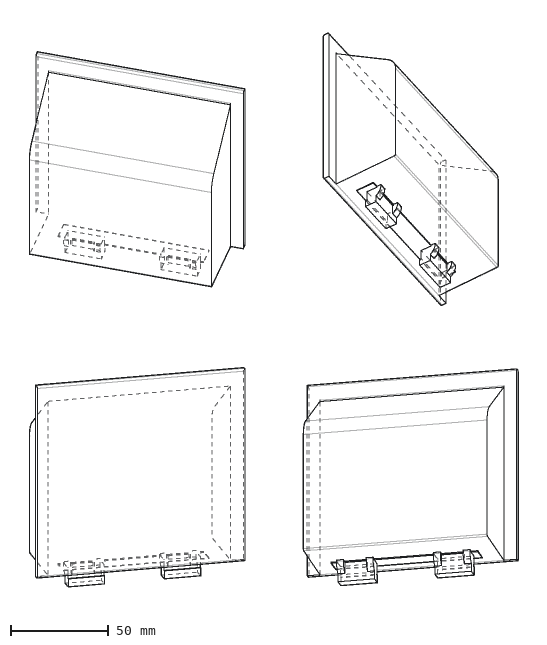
import cadquery as cq
import math

plate_width = 110.0
plate_height = 103.0
plate_thickness = 3.5
plate_edge_radius = 1.1

housing_width = 96.6
overall_depth = 39.6
housing_top_drop = 8.9
lip_height = 0.8
lip_depth = 0.2
roof_angle = 33.8
roof_radius = 10.5
floor_draft = 2.0
floor_edge_radius = 0.9

pad_width = 77.1
pad_back = 9.6
pad_front = 19.8
pad_embed = 2.3

overall_height = 113.1
clip_spacing = 50.9
clip_width = 19.2
clip_back = 13.7
clip_front = 19.2
foot_height = 4.3
foot_back = 12.8
rib_width = 3.6
rib_front = 22.2

foot_top = foot_height - overall_height


def centered_block(width, back, front, bottom, top):
    """Block centred on X; back and front are distances forward of the plate's back."""
    block = cq.Workplane("XY").box(width, front - back, top - bottom, centered=(True, False, False))
    return block.translate((0, -front, bottom))


def extrude_across(profile, width):
    """Extrude a YZ profile symmetrically along X."""
    return profile.close().extrude(width / 2, both=True)


def make_plate():
    plate = centered_block(plate_width, 0, plate_thickness, -plate_height, 0)
    plate = plate.edges("|X and >Z").fillet(plate_edge_radius)
    return plate.edges("|X and <Z and >Y").fillet(plate_edge_radius)


def make_housing():
    roof_start_depth = plate_thickness + lip_depth
    roof_start_z = -housing_top_drop - lip_height
    roof_fall = (overall_depth - roof_start_depth) * math.tan(math.radians(roof_angle))
    floor_rise = (overall_depth - plate_thickness) * math.tan(math.radians(floor_draft))
    profile = (
        cq.Workplane("YZ")
        .moveTo(-plate_thickness, -plate_height)
        .lineTo(-plate_thickness, -housing_top_drop)
        .lineTo(-roof_start_depth, roof_start_z)
        .lineTo(-overall_depth, roof_start_z - roof_fall)
        .lineTo(-overall_depth, -plate_height + floor_rise)
    )
    housing = extrude_across(profile, housing_width)
    housing = housing.faces("<Y").edges("|X and >Z").fillet(roof_radius)
    return housing.faces("<Y").edges("|X and <Z").fillet(floor_edge_radius)


def make_pad():
    return centered_block(pad_width, pad_back, pad_front, -plate_height, -plate_height + pad_embed)


def make_clip_rib():
    """Side rib whose front is straight, then curls back to the stem above the foot."""
    arc_center_z = -plate_height
    arc_drop = arc_center_z - foot_top
    arc_setback = rib_front - clip_front
    rib_radius = (arc_drop**2 + arc_setback**2) / (2 * arc_setback)
    arc_center_depth = rib_front - rib_radius
    mid_angle = math.asin(arc_drop / rib_radius) / 2
    arc_middle = (
        -arc_center_depth - rib_radius * math.cos(mid_angle),
        arc_center_z - rib_radius * math.sin(mid_angle),
    )
    rib_top = -plate_height + pad_embed
    profile = (
        cq.Workplane("YZ")
        .moveTo(-clip_back, rib_top)
        .lineTo(-rib_front, rib_top)
        .lineTo(-rib_front, arc_center_z)
        .threePointArc(arc_middle, (-clip_front, foot_top))
        .lineTo(-clip_back, foot_top)
    )
    return extrude_across(profile, rib_width)


def make_clip():
    stem = centered_block(clip_width, clip_back, clip_front, -overall_height, -plate_height + pad_embed)
    foot = centered_block(clip_width, foot_back, clip_front, -overall_height, foot_top)
    clip = stem.union(foot)
    rib_offset = (clip_width - rib_width) / 2
    for side in (-1, 1):
        clip = clip.union(make_clip_rib().translate((side * rib_offset, 0, 0)))
    return clip


result = make_plate().union(make_housing()).union(make_pad())
for side in (-1, 1):
    result = result.union(make_clip().translate((side * clip_spacing / 2, 0, 0)))